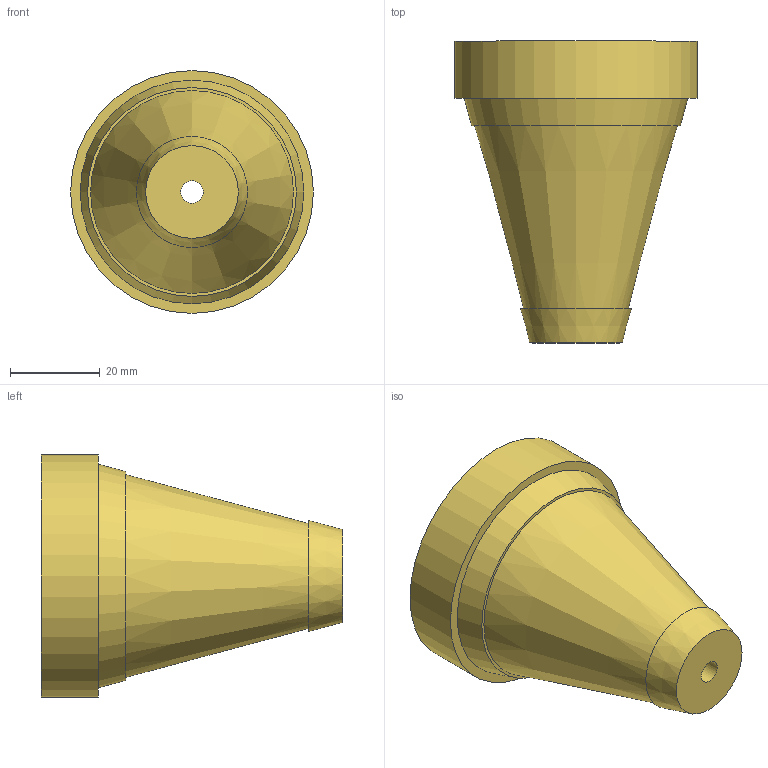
import cadquery as cq
import math

taper = math.tan(math.radians(15))

overall_length = 67.11
flange_diameter = 53.98
flange_length = 12.7
collar_base_diameter = 49.7
collar_length = 6.1
tip_diameter = 20.6
tip_length = 7.62
shank_base_diameter = 45.1
bore_diameter = 5.08

shank_length = overall_length - flange_length - collar_length - tip_length

flange_radius = flange_diameter / 2
collar_base_radius = collar_base_diameter / 2
collar_end_radius = collar_base_radius - collar_length * taper
shank_base_radius = shank_base_diameter / 2
shank_end_radius = shank_base_radius - shank_length * taper
tip_end_radius = tip_diameter / 2
tip_base_radius = tip_end_radius + tip_length * taper

flange_front = -flange_length
collar_front = flange_front - collar_length
shank_front = collar_front - shank_length
tip_front = -overall_length


def make_body():
    """Flange, collar, shank and tip, revolved from one half-profile."""
    half_profile = [
        (0, 0),
        (0, flange_radius),
        (flange_front, flange_radius),
        (flange_front, collar_base_radius),
        (collar_front, collar_end_radius),
        (collar_front, shank_base_radius),
        (shank_front, shank_end_radius),
        (shank_front, tip_base_radius),
        (tip_front, tip_end_radius),
        (tip_front, 0),
    ]
    return cq.Workplane("YZ").polyline(half_profile).close().revolve(360, (0, 0, 0), (1, 0, 0))


def make_bore():
    """Straight bore along the whole axis."""
    return cq.Workplane("XZ").circle(bore_diameter / 2).extrude(overall_length)


result = make_body().cut(make_bore())